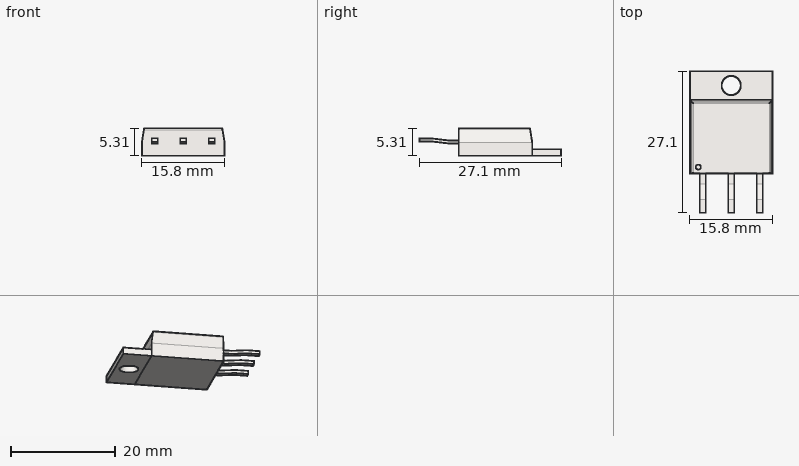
import cadquery as cq

overall_length = 27.1
width = 15.85
height = 5.31

tab_length = 5.5
tab_thickness = 1.3
hole_diameter = 3.63
hole_to_tab_end = 2.75

lead_count = 3
lead_pitch = 5.45
lead_width = 1.2
lead_thickness = 0.62
lead_length = 7.48
lead_root_bottom = 2.35
lead_rise = 0.35
first_bend = 1.92
second_bend = 4.9

housing_length = overall_length - tab_length - lead_length
shoulder_height = 2.65
taper_inset = 0.43
top_fillet = 0.27

marker_diameter = 0.98
marker_depth = 0.1
marker_from_side = 1.63
marker_from_front = 1.27


def make_housing():
    """Block with upper sides and back leaning inward, and a rounded top rim."""
    half_width = width / 2
    top_half_width = half_width - taper_inset
    cross_section = (
        cq.Workplane("XZ")
        .polyline([
            (-half_width, 0),
            (half_width, 0),
            (half_width, shoulder_height),
            (top_half_width, height),
            (-top_half_width, height),
            (-half_width, shoulder_height),
        ])
        .close()
        .extrude(-housing_length)
    )
    side_outline = (
        cq.Workplane("YZ")
        .polyline([
            (0, 0),
            (housing_length, 0),
            (housing_length, shoulder_height),
            (housing_length - taper_inset, height),
            (0, height),
        ])
        .close()
        .extrude(half_width, both=True)
    )
    block = cross_section.intersect(side_outline).faces(">Z").edges().fillet(top_fillet)
    marker = (
        cq.Workplane("XY", origin=(marker_from_side - half_width, marker_from_front, height))
        .circle(marker_diameter / 2)
        .extrude(-marker_depth)
    )
    return block.cut(marker)


def make_tab():
    """Flat plate against the back of the housing, with a through hole."""
    plate = cq.Workplane("XY").box(width, tab_length, tab_thickness, centered=(True, False, False))
    hole = (
        cq.Workplane("XY")
        .center(0, tab_length - hole_to_tab_end)
        .circle(hole_diameter / 2)
        .extrude(tab_thickness)
    )
    return plate.cut(hole).translate((0, housing_length, 0))


def make_lead(x_center):
    """Flat lead starting at the housing face, stepping up between its two bends."""
    root_top = lead_root_bottom + lead_thickness
    tip_bottom = lead_root_bottom + lead_rise
    tip_top = tip_bottom + lead_thickness
    return (
        cq.Workplane("YZ", origin=(x_center, 0, 0))
        .polyline([
            (0, lead_root_bottom),
            (-first_bend, lead_root_bottom),
            (-second_bend, tip_bottom),
            (-lead_length, tip_bottom),
            (-lead_length, tip_top),
            (-second_bend, tip_top),
            (-first_bend, root_top),
            (0, root_top),
        ])
        .close()
        .extrude(lead_width / 2, both=True)
    )


housing = make_housing()
tab = make_tab()
leads = []
for index in range(lead_count):
    lead_x = (index - (lead_count - 1) / 2) * lead_pitch
    leads.append(make_lead(lead_x).val())

result = cq.Compound.makeCompound([housing.val(), tab.val(), *leads])